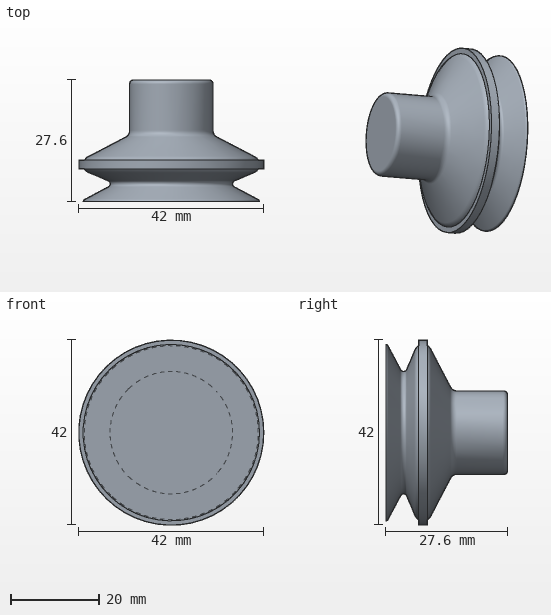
import cadquery as cq
import math


total_length = 27.61

stem_radius = 19.0 / 2
stem_edge_fillet = 1.0
stem_root_y = 16.0
stem_root_fillet = 1.5

disc_radius = 42.0 / 2
disc_thickness = 2.0
fold_y = 8.4
fold_outer_radius = 20.0
fold_round = 2.0

waist_radius = 13.9
waist_y = 4.0
waist_round = 0.75

lip_radius = 20.0
lip_round = 0.5

root_center = (stem_radius + stem_root_fillet, stem_root_y)
fold_center = (fold_outer_radius - fold_round, fold_y)
waist_center = (waist_radius + waist_round, waist_y)
lip_center = (lip_radius - lip_round, 0.0)


def cone_normal_angle(convex_center, convex_round, concave_center, concave_round):
    """Tilt from the radial direction of the normal of the cone joining two arcs."""
    radial_gap = convex_center[0] - concave_center[0]
    axial_gap = abs(convex_center[1] - concave_center[1])
    center_distance = math.hypot(radial_gap, axial_gap)
    center_line_angle = math.atan2(radial_gap, axial_gap)
    return center_line_angle + math.asin((convex_round + concave_round) / center_distance)


def arc_point(center, signed_round, angle):
    """Point of an arc at the given angle; a negative round gives the opposite side."""
    return (
        center[0] + signed_round * math.cos(angle),
        center[1] + signed_round * math.sin(angle),
    )


def make_bellows():
    lip_angle = cone_normal_angle(lip_center, lip_round, waist_center, waist_round)
    lower_angle = -cone_normal_angle(fold_center, fold_round, waist_center, waist_round)
    upper_angle = cone_normal_angle(fold_center, fold_round, root_center, stem_root_fillet)
    outline = (
        cq.Workplane("XY")
        .lineTo(lip_radius, 0)
        .threePointArc(
            arc_point(lip_center, lip_round, lip_angle / 2),
            arc_point(lip_center, lip_round, lip_angle),
        )
        .lineTo(*arc_point(waist_center, -waist_round, lip_angle))
        .threePointArc(
            (waist_radius, waist_y),
            arc_point(waist_center, -waist_round, lower_angle),
        )
        .lineTo(*arc_point(fold_center, fold_round, lower_angle))
        .threePointArc(
            (fold_outer_radius, fold_y),
            arc_point(fold_center, fold_round, upper_angle),
        )
        .lineTo(*arc_point(root_center, -stem_root_fillet, upper_angle))
        .threePointArc(
            arc_point(root_center, -stem_root_fillet, upper_angle / 2),
            (stem_radius, stem_root_y),
        )
        .lineTo(stem_radius, total_length)
        .lineTo(0, total_length)
        .close()
    )
    body = outline.revolve(360, (0, 0), (0, 1))
    return body.faces(">Y").edges().fillet(stem_edge_fillet)


def make_disc():
    lower_face = cq.Workplane("XZ", origin=(0, fold_y - disc_thickness / 2, 0))
    return lower_face.circle(disc_radius).extrude(-disc_thickness)


result = make_bellows().union(make_disc())